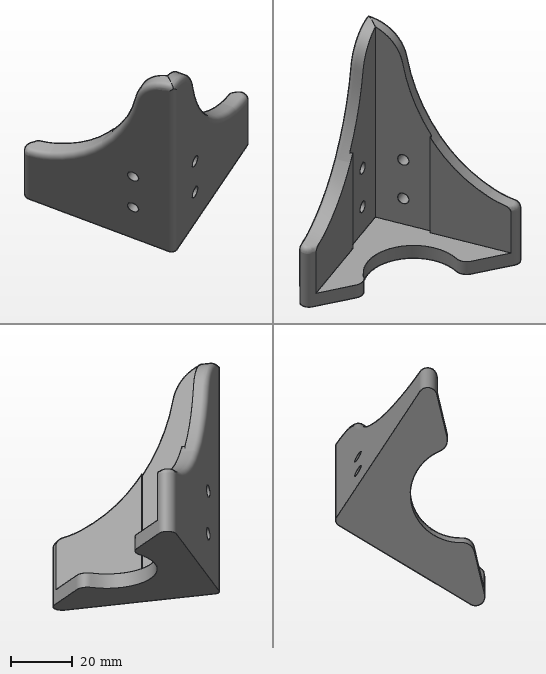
import cadquery as cq
import math

LEG = 60.0
TIP_RADIUS = 3.0
EDGE_RADIUS = 2.0
FLOOR_THICKNESS = 5.0
THIN_WALL = 5.0
THICK_WALL = 6.1
STEP_DISTANCE = 25.1

PEAK_HEIGHT = 80.0
CREST_RADIUS = 15.0
CREST_END_HEIGHT = 67.6
SWEEP_MIDDLE = (27.0, 39.6)
SWEEP_END = (45.8, 24.75)
TOE = (56.7, 22.5)

CUTOUT_RADIUS = 16.4
CUTOUT_CORNER_RADIUS = 4.0

HOLE_DIAMETER = 4.0
HOLE_DISTANCE = 15.0
HOLE_HEIGHTS = (15.0, 30.0)


def wall_profile():
    """Side outline of the X wall, extruded across the whole part."""
    crest_center = PEAK_HEIGHT - CREST_RADIUS
    crest_rise = CREST_END_HEIGHT - crest_center
    crest_end = math.sqrt(CREST_RADIUS**2 - crest_rise**2)
    crest_mid_angle = (math.pi / 2 + math.asin(crest_rise / CREST_RADIUS)) / 2
    crest_middle = (
        -CREST_RADIUS * math.cos(crest_mid_angle),
        crest_center + CREST_RADIUS * math.sin(crest_mid_angle),
    )
    outline = (
        cq.Workplane("XZ")
        .lineTo(0, PEAK_HEIGHT)
        .threePointArc(crest_middle, (-crest_end, CREST_END_HEIGHT))
    )
    for distance, height in (SWEEP_MIDDLE, SWEEP_END, TOE):
        outline = outline.tangentArcPoint((-distance, height), relative=False)
    outline = outline.lineTo(-LEG, TOE[1]).lineTo(-LEG, 0).close()
    return outline.extrude(LEG, both=True)


def make_wall_envelope():
    """Space under the swept edge of the X wall, with its outer rim and free end rounded."""
    envelope = cq.Workplane("XY").polyline([(0, 0), (0, LEG), (-LEG, 0)]).close().extrude(PEAK_HEIGHT)
    envelope = envelope.edges("|Z").edges("<X").fillet(TIP_RADIUS)
    envelope = envelope.intersect(wall_profile())
    rim = envelope.faces("<Y").edges("not(|Z or <Z)")
    return envelope.newObject(rim.vals()).fillet(EDGE_RADIUS)


def make_outer_body():
    """Both wall envelopes meeting at a mitre, with the outer corner rounded."""
    x_wall = make_wall_envelope()
    y_wall = x_wall.mirror("XZ").rotate((0, 0, 0), (0, 0, 1), -90)
    body = x_wall.intersect(y_wall)
    corner = cq.Workplane("XY").rect(2 * LEG, 2 * LEG).extrude(PEAK_HEIGHT)
    corner = corner.translate((-LEG, LEG, 0)).edges("|Z and >X and <Y").fillet(EDGE_RADIUS)
    return body.intersect(corner)


def make_cavity():
    """Space between the walls, open towards the sloping side of the plan."""
    return (
        cq.Workplane("XY", origin=(0, 0, FLOOR_THICKNESS))
        .moveTo(-THIN_WALL, THIN_WALL)
        .lineTo(-THIN_WALL, STEP_DISTANCE)
        .lineTo(-THICK_WALL, STEP_DISTANCE)
        .lineTo(-THICK_WALL, LEG)
        .lineTo(-LEG, LEG)
        .lineTo(-LEG, THICK_WALL)
        .lineTo(-STEP_DISTANCE, THICK_WALL)
        .lineTo(-STEP_DISTANCE, THIN_WALL)
        .close()
        .extrude(PEAK_HEIGHT)
    )


def make_floor_cutout():
    """Half-round cutout, flared by a rounded corner on each side."""
    corner = CUTOUT_CORNER_RADIUS
    corner_center = math.sqrt((CUTOUT_RADIUS + corner)**2 - corner**2)
    side = cq.Plane(origin=(-LEG / 2, LEG / 2, 0), xDir=(1, 1, 0), normal=(0, 0, -1))
    tangent_share = CUTOUT_RADIUS / (CUTOUT_RADIUS + corner)
    tangent_x = corner_center * tangent_share
    tangent_y = corner * tangent_share
    cutout = (
        cq.Workplane(side)
        .moveTo(-corner_center, 0)
        .radiusArc((-tangent_x, tangent_y), -corner)
        .threePointArc((0, CUTOUT_RADIUS), (tangent_x, tangent_y))
        .radiusArc((corner_center, 0), -corner)
        .close()
    )
    return cutout.extrude(-FLOOR_THICKNESS)


def make_screw_holes():
    """A column of holes through each wall."""
    radius = HOLE_DIAMETER / 2
    points = [(HOLE_DISTANCE, height) for height in HOLE_HEIGHTS]
    y_holes = cq.Workplane("YZ").pushPoints(points).circle(radius).extrude(-THICK_WALL)
    mirrored = [(-distance, height) for distance, height in points]
    x_holes = cq.Workplane("XZ").pushPoints(mirrored).circle(radius).extrude(-THICK_WALL)
    return x_holes.union(y_holes)


result = make_outer_body().cut(make_cavity()).cut(make_floor_cutout()).cut(make_screw_holes())